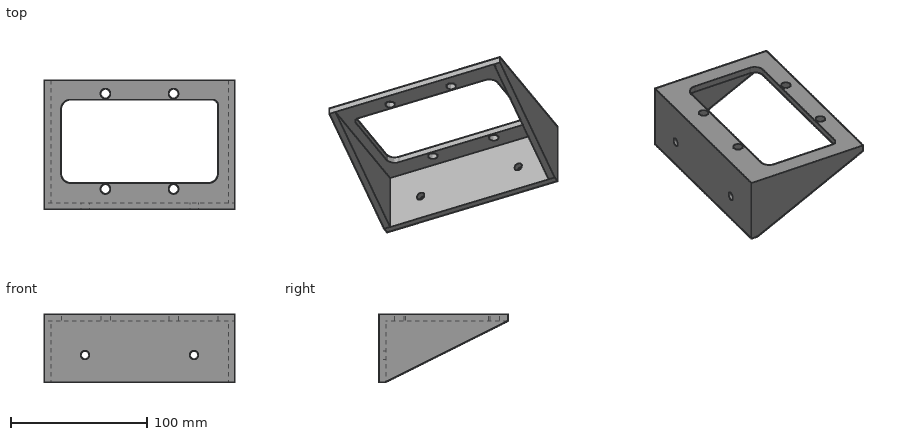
import cadquery as cq

length = 140.0
depth = 95.0
height = 50.0

wall = 5.0

window_length = 115.0
window_width = 61.0
window_center_y = 50.0
corner_radius = 7.0
small_corner_radius = 4.0

plate_hole_diameter = 7.0
plate_hole_spacing_x = 50.0
plate_hole_spacing_y = 70.0
wall_hole_diameter = 6.0
wall_hole_spacing = 80.0
wall_hole_height = 20.0


def extrude_side_profile(points, width):
    """Extrude a (Y, Z) outline symmetrically about X = 0."""
    return cq.Workplane("YZ").polyline(points).close().extrude(width / 2, both=True)


def make_wedge():
    """Solid wedge with a blunt rear edge and a narrow flat foot."""
    outline = [
        (0, 0),
        (wall, 0),
        (depth, height - wall),
        (depth, height),
        (0, height),
    ]
    return extrude_side_profile(outline, length)


def make_hollow():
    """Space between the gussets, behind the front wall and under the top plate."""
    outline = [
        (wall, 0),
        (depth, 0),
        (depth, height - wall),
        (wall, height - wall),
    ]
    return extrude_side_profile(outline, length - 2 * wall)


def make_window():
    """Rounded rectangular cutter for the opening in the top plate."""
    block = (
        cq.Workplane("XY", origin=(0, window_center_y, height - wall))
        .rect(window_length, window_width)
        .extrude(wall)
    )
    block = block.edges("|Z").edges(">X and >Y").fillet(small_corner_radius)
    return block.edges("|Z and (<X or <Y)").fillet(corner_radius)


def make_plate_holes():
    """Four vertical holes through the top plate, around the window."""
    return (
        cq.Workplane("XY", origin=(0, window_center_y, height - wall))
        .rarray(plate_hole_spacing_x, plate_hole_spacing_y, 2, 2)
        .circle(plate_hole_diameter / 2)
        .extrude(wall)
    )


def make_wall_holes():
    """Two horizontal holes through the front wall."""
    return (
        cq.Workplane("XZ", origin=(0, wall, wall_hole_height))
        .rarray(wall_hole_spacing, 1, 2, 1)
        .circle(wall_hole_diameter / 2)
        .extrude(wall)
    )


result = (
    make_wedge()
    .cut(make_hollow())
    .cut(make_window())
    .cut(make_plate_holes())
    .cut(make_wall_holes())
)